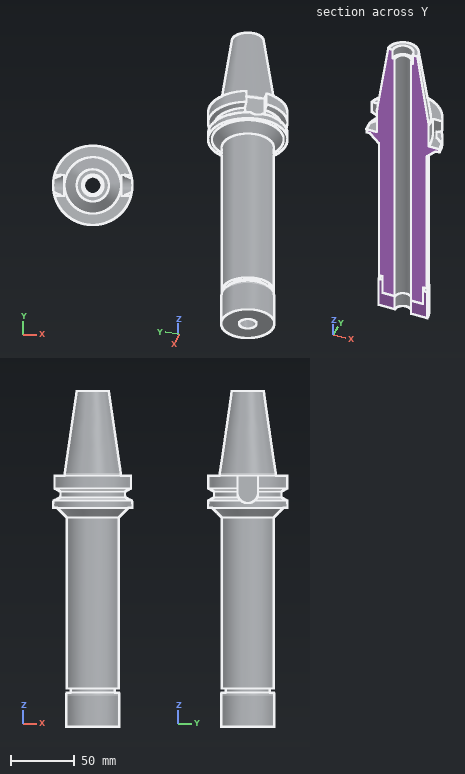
import cadquery as cq

total_height = 265.5
taper_length = 65.3
gauge_land = 1.5
gauge_z = total_height - taper_length
flange_top_z = gauge_z - gauge_land

taper_top_radius = 12.7
taper_base_radius = 22.3

flange_radius = 31.45
flange_bottom_z = 173.0
groove_radius = 26.8
groove_top_z = 188.5
groove_floor_top_z = 185.8
groove_floor_bottom_z = 181.3
groove_bottom_z = 178.5
cone_top_radius = 28.5
shaft_radius = 20.7
cone_bottom_z = flange_bottom_z - (cone_top_radius - shaft_radius)

slot_width = 16.5
slot_floor_x = 22.5
slot_depth = 21.8

bore_radius = 7.0
counterbore_radius = 8.5
counterbore_depth = 8.8
counterbore_floor_z = total_height - counterbore_depth

shaft_bottom_z = 30.3
neck_radius = 17.5
nose_bottom_z = 13.3

nut_radius = 21.1
nut_height = 27.0
nut_chamfer_height = 1.9
nut_chamfer_width = 0.3


def revolve(profile):
    """Revolve a closed (radius, z) outline around the Z axis."""
    return cq.Workplane("XZ").polyline(profile).close().revolve(360, (0, 0), (0, 1))


def drive_slot(side):
    """Round-bottomed cutter for the drive slot on the side=+1 or side=-1 X face."""
    half_width = slot_width / 2
    arc_center_z = flange_top_z - slot_depth + half_width
    return (
        cq.Workplane("YZ", origin=(side * slot_floor_x, 0, 0))
        .moveTo(-half_width, flange_top_z)
        .lineTo(-half_width, arc_center_z)
        .threePointArc((0, arc_center_z - half_width), (half_width, arc_center_z))
        .lineTo(half_width, flange_top_z)
        .close()
        .extrude(side * flange_radius)
    )


def make_holder():
    """Taper, flange, shaft and nose, with a stepped through bore."""
    holder = revolve([
        (bore_radius, counterbore_floor_z),
        (counterbore_radius, counterbore_floor_z),
        (counterbore_radius, total_height),
        (taper_top_radius, total_height),
        (taper_base_radius, gauge_z),
        (taper_base_radius, flange_top_z),
        (flange_radius, flange_top_z),
        (flange_radius, groove_top_z),
        (groove_radius, groove_floor_top_z),
        (groove_radius, groove_floor_bottom_z),
        (flange_radius, groove_bottom_z),
        (flange_radius, flange_bottom_z),
        (cone_top_radius, flange_bottom_z),
        (shaft_radius, cone_bottom_z),
        (shaft_radius, shaft_bottom_z),
        (neck_radius, shaft_bottom_z),
        (neck_radius, nose_bottom_z),
        (bore_radius, nose_bottom_z),
    ])
    for side in (-1, 1):
        holder = holder.cut(drive_slot(side))
    return holder


def make_nut():
    """Cup-shaped nut around the nose, with the through bore continued in its bottom."""
    return revolve([
        (bore_radius, 0),
        (nut_radius, 0),
        (nut_radius, nut_height - nut_chamfer_height),
        (nut_radius - nut_chamfer_width, nut_height),
        (neck_radius, nut_height),
        (neck_radius, nose_bottom_z),
        (bore_radius, nose_bottom_z),
    ])


holder = make_holder()
nut = make_nut()

result = cq.Compound.makeCompound([holder.val(), nut.val()])